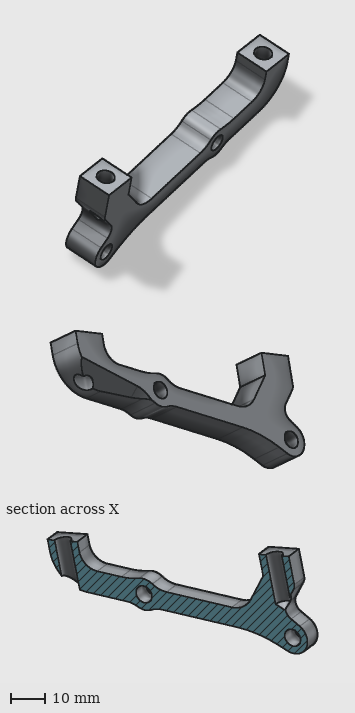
import cadquery as cq
import math


LENGTH = 89.4
THICKNESS = 11.0

LUG_RADIUS = 5.2
LUG_HOLE_DIAMETER = 5.3
LUG_SPACING = 51.0

PAD_TILT = 12.1
PAD_WIDTH = 10.6
FRONT_PAD_Y = 6.4
FRONT_PAD_Z = 25.5
PAD_HOLE_DIAMETER = 5.4
FRONT_HOLE_DEPTH = 15.7
DRILL_POINT_ANGLE = 118.0
REAR_HOLE_DEPTH = 26.8

ARM_SLOPE = 3.2
ARM_BOTTOM_Z = -0.9
FRONT_ARM_TOP_Z = 5.45
REAR_ARM_TOP_Z = 7.0

TOWER_LEAN = 64.5
TOWER_STRAIGHT = 7.0
NOSE_STRAIGHT = 9.8
LUG_TOP_SLOPE = 27.7
LUG_BOTTOM_SLOPE = 18.4

NOSE_RADIUS = 2.7
NOTCH_RADIUS = 3.6
TOWER_FOOT_RADIUS = 7.7
REAR_INNER_RADIUS = 5.8
REAR_OUTER_RADIUS = 12.5
UNDERSIDE_RADIUS = 38.4
LUG_BLEND_RADIUS = 8.05
LUG_REAR_TOP_RADIUS = 22.35

BEVEL_ANGLE = 45.0
BEVEL_SLOPE = 4.9
BEVEL_END_Y = 60.2
BEVEL_END_Z = -1.5
BEVEL_END_RADIUS = 11.9
BEVEL_REACH = 35.8


def direction(angle):
    """Unit vector at an angle from the first axis of a plane, (Y, Z) unless stated."""
    return math.cos(math.radians(angle)), math.sin(math.radians(angle))


def move(point, angle, distance):
    dy, dz = direction(angle)
    return point[0] + distance * dy, point[1] + distance * dz


def meet(point_a, angle_a, point_b, angle_b):
    """Crossing of two lines, each given by a point and an angle."""
    ay, az = direction(angle_a)
    by, bz = direction(angle_b)
    gap_y = point_b[0] - point_a[0]
    gap_z = point_b[1] - point_a[1]
    return move(point_a, angle_a, (gap_y * bz - gap_z * by) / (ay * bz - az * by))


ALONG_PADS = -PAD_TILT
BELOW_PADS = -90 - PAD_TILT
ALONG_ARM = -ARM_SLOPE
ALONG_FLANK = 180 - TOWER_LEAN

front_lug = (0, 0)
rear_lug = (LUG_SPACING, 0)
front_pad = (FRONT_PAD_Y, FRONT_PAD_Z)
pad_run = (LENGTH - LUG_RADIUS - FRONT_PAD_Y) / math.cos(math.radians(PAD_TILT))
pad_spacing = pad_run - PAD_WIDTH / 2
rear_pad = move(front_pad, ALONG_PADS, pad_spacing)

front_pad_outer = move(front_pad, ALONG_PADS, -PAD_WIDTH / 2)
front_pad_inner = move(front_pad, ALONG_PADS, PAD_WIDTH / 2)
rear_pad_inner = move(rear_pad, ALONG_PADS, -PAD_WIDTH / 2)
rear_pad_outer = move(rear_pad, ALONG_PADS, PAD_WIDTH / 2)

arm_bottom = (0, ARM_BOTTOM_Z)
lug_top_tangent = move(front_lug, 90 + LUG_TOP_SLOPE, LUG_RADIUS)
lug_bottom_tangent = move(front_lug, -90 + LUG_BOTTOM_SLOPE, LUG_RADIUS)

nose = move(front_pad_outer, BELOW_PADS, NOSE_STRAIGHT)
notch = meet(nose, ALONG_FLANK, lug_top_tangent, LUG_TOP_SLOPE)
tower_bend = move(front_pad_inner, BELOW_PADS, TOWER_STRAIGHT)
tower_foot = meet(tower_bend, ALONG_FLANK, (0, FRONT_ARM_TOP_Z), ALONG_ARM)
step_bottom = meet((0, FRONT_ARM_TOP_Z), ALONG_ARM, rear_lug, 90)
step_top = meet((0, REAR_ARM_TOP_Z), ALONG_ARM, rear_lug, 90)
rear_inner = meet(rear_pad_inner, BELOW_PADS, (0, REAR_ARM_TOP_Z), ALONG_ARM)
rear_outer = meet(rear_pad_outer, BELOW_PADS, arm_bottom, ALONG_ARM)
underside = meet(arm_bottom, ALONG_ARM, lug_bottom_tangent, LUG_BOTTOM_SLOPE)


def lug_blend_start(line_height, side):
    """Crossing of an arm line (height given at Y = 0) with the rear lug; side is -1 front, +1 rear."""
    foot = meet((0, line_height), ALONG_ARM, rear_lug, 90 + ALONG_ARM)
    offset = math.dist(foot, rear_lug)
    return move(foot, ALONG_ARM, side * math.sqrt(LUG_RADIUS**2 - offset**2))


def make_plate():
    corners = [
        front_lug,
        lug_top_tangent,
        notch,
        nose,
        front_pad_outer,
        front_pad_inner,
        tower_bend,
        tower_foot,
        step_bottom,
        step_top,
        rear_inner,
        rear_pad_inner,
        rear_pad_outer,
        rear_outer,
        underside,
        lug_bottom_tangent,
    ]
    plate = cq.Workplane("YZ").polyline(corners).close().extrude(THICKNESS / 2, both=True)
    lugs = (
        cq.Workplane("YZ")
        .pushPoints([front_lug, rear_lug])
        .circle(LUG_RADIUS)
        .extrude(THICKNESS / 2, both=True)
    )
    return plate.union(lugs)


def round_corners(body):
    blends = [
        (nose, NOSE_RADIUS),
        (notch, NOTCH_RADIUS),
        (tower_foot, TOWER_FOOT_RADIUS),
        (rear_inner, REAR_INNER_RADIUS),
        (rear_outer, REAR_OUTER_RADIUS),
        (underside, UNDERSIDE_RADIUS),
        (lug_blend_start(FRONT_ARM_TOP_Z, -1), LUG_BLEND_RADIUS),
        (lug_blend_start(REAR_ARM_TOP_Z, 1), LUG_REAR_TOP_RADIUS),
        (lug_blend_start(ARM_BOTTOM_Z, -1), LUG_BLEND_RADIUS),
        (lug_blend_start(ARM_BOTTOM_Z, 1), LUG_BLEND_RADIUS),
    ]
    for corner, radius in blends:
        edge = cq.selectors.NearestToPointSelector((0, *corner))
        body = body.edges("|X").edges(edge).fillet(radius)
    return body


def make_bevel():
    """Cutter swept along the fall of the bevel in the (X, Z) plane, with a rounded front end."""
    fall_x, fall_z = direction(-BEVEL_ANGLE)
    sketch = cq.Plane(
        origin=(-THICKNESS / 2, BEVEL_END_Y, BEVEL_END_Z),
        xDir=(0, 1, 0),
        normal=(fall_x, 0, fall_z),
    )
    flat_end = move((0, 0), BEVEL_SLOPE, BEVEL_REACH)
    centre = move((0, 0), BEVEL_SLOPE - 90, BEVEL_END_RADIUS)
    arc_middle = move(centre, BEVEL_SLOPE + 135, BEVEL_END_RADIUS)
    arc_end = move(centre, BEVEL_SLOPE + 180, BEVEL_END_RADIUS)
    return (
        cq.Workplane(sketch)
        .moveTo(*flat_end)
        .lineTo(0, 0)
        .threePointArc(arc_middle, arc_end)
        .lineTo(arc_end[0], -BEVEL_REACH)
        .lineTo(flat_end[0], -BEVEL_REACH)
        .close()
        .extrude(BEVEL_REACH, both=True)
    )


def make_lug_holes():
    return (
        cq.Workplane("YZ")
        .pushPoints([front_lug, rear_lug])
        .circle(LUG_HOLE_DIAMETER / 2)
        .extrude(THICKNESS, both=True)
    )


def make_pad_hole(pad, depth):
    """Drilled hole square to a pad: a cylinder that ends in a drill-point cone."""
    radius = PAD_HOLE_DIAMETER / 2
    point_height = radius / math.tan(math.radians(DRILL_POINT_ANGLE / 2))
    axis = cq.Vector(0, *direction(BELOW_PADS))
    start = cq.Vector(0, *pad)
    bore = cq.Solid.makeCylinder(radius, depth, start, axis)
    drill_point = cq.Solid.makeCone(radius, 0, point_height, start + axis * depth, axis)
    return cq.Workplane(bore).union(cq.Workplane(drill_point))


result = (
    round_corners(make_plate())
    .cut(make_bevel())
    .cut(make_lug_holes())
    .cut(make_pad_hole(front_pad, FRONT_HOLE_DEPTH))
    .cut(make_pad_hole(rear_pad, REAR_HOLE_DEPTH))
)